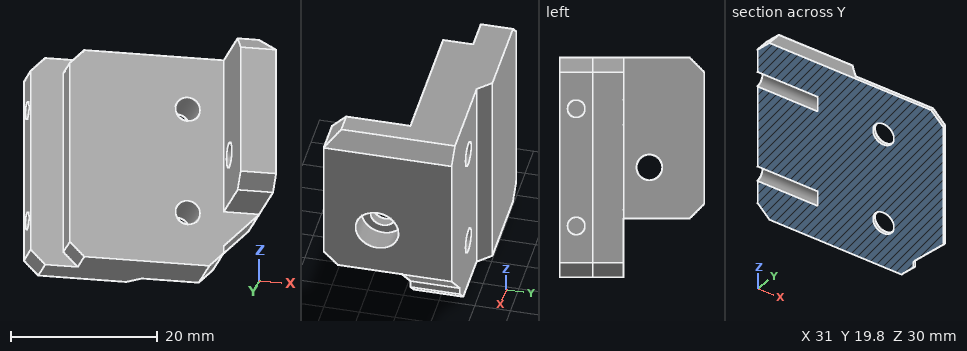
import cadquery as cq

width = 31.0
depth = 19.75
height = 30.0
bevel = 2.0

back_layer = 4.53
plate_thickness = 8.75
back_relief = 1.8
relief_start = 14.3
front_layer_left = 4.55

arm_thickness = 4.95
arm_bottom = 8.0

plate_hole_diameter = 3.4
plate_hole_x = 21.02
plate_hole_heights = (7.5, 22.5)
arm_hole_diameter = 3.47
arm_hole_y = 7.5
arm_hole_z = 15.0
arm_counterbore_diameter = 6.0
arm_counterbore_floor = 1.5
side_hole_diameter = 2.4
side_hole_depth = 10.0
side_hole_heights = (7.0, 23.0)

arm_inner_x = width - arm_thickness
plate_front_y = depth - plate_thickness
layer_step_y = depth - back_layer
slope_bottom = arm_bottom - arm_thickness


def layer(left, front_y, back_y):
    """Plate layer with bevelled corners, starting at X = left."""
    outline = [
        (left + bevel, 0),
        (arm_inner_x - bevel, 0),
        (arm_inner_x, bevel),
        (arm_inner_x, slope_bottom),
        (width, arm_bottom),
        (width, height - bevel),
        (width - bevel, height),
        (left + bevel, height),
        (left, height - bevel),
        (left, bevel),
    ]
    return (
        cq.Workplane("XZ", origin=(0, front_y, 0))
        .polyline(outline)
        .close()
        .extrude(front_y - back_y)
    )


def side_arm():
    """Arm reaching forward, bevelled at its two tip corners and upper outer edge."""
    arm = cq.Workplane("XY").box(
        arm_thickness, layer_step_y, height - arm_bottom, centered=False
    ).translate((arm_inner_x, 0, arm_bottom))
    arm = arm.faces("<Y").edges("|X").chamfer(bevel)
    return arm.intersect(layer(0, 0, depth))


def relief_cut():
    """Shallow step across the right of the back face, with a 45 degree lead-in."""
    relief_y = depth - back_relief
    return (
        cq.Workplane("XY")
        .moveTo(relief_start, depth)
        .lineTo(relief_start + back_relief, relief_y)
        .lineTo(width, relief_y)
        .lineTo(width, depth)
        .close()
        .extrude(height)
    )


def hole_along_y(x, z):
    return cq.Workplane("XZ", origin=(x, 0, z)).circle(plate_hole_diameter / 2).extrude(-depth)


def hole_along_x(y, z, diameter, start_x, length):
    return cq.Workplane("YZ", origin=(start_x, y, z)).circle(diameter / 2).extrude(length)


body = layer(0, layer_step_y, depth)
body = body.union(layer(front_layer_left, plate_front_y, layer_step_y))
body = body.union(side_arm())
body = body.cut(relief_cut())

for z in plate_hole_heights:
    body = body.cut(hole_along_y(plate_hole_x, z))

body = body.cut(hole_along_x(arm_hole_y, arm_hole_z, arm_hole_diameter, arm_inner_x, arm_thickness))

counterbore_start_x = arm_inner_x + arm_counterbore_floor
counterbore_depth = arm_thickness - arm_counterbore_floor
body = body.cut(
    hole_along_x(arm_hole_y, arm_hole_z, arm_counterbore_diameter, counterbore_start_x, counterbore_depth)
)

side_hole_y = depth - back_layer / 2
for z in side_hole_heights:
    body = body.cut(hole_along_x(side_hole_y, z, side_hole_diameter, 0, side_hole_depth))

result = body